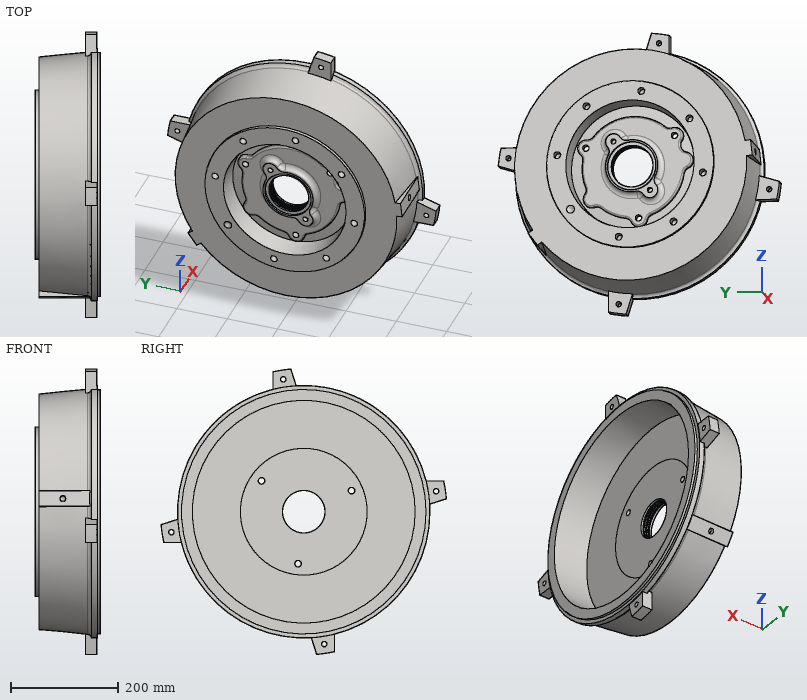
import cadquery as cq
import math


base_angle = 8.8
ring_pitch_angle = 360 / 8
ring_hole_angles = [base_angle + ring_pitch_angle * i for i in range(7)]
dimple_angle = base_angle + ring_pitch_angle * 7
lug_angles = [base_angle + 90 * i for i in range(4)]
hub_bolt_angles = [base_angle + 15 + 120 * i for i in range(3)]
pad_angles = [base_angle + 165, dimple_angle]
ear_angles = [base_angle + 45, base_angle + 225]

ring_height = 7.0
rim_end = 116.5
housing_length = 122.0
cone_end = 97.5

ring_radius = 158.5
front_radius = 220.5
neck_radius = 229.5
rim_radius = 236.0
spigot_radius = 228.5
pocket_radius = 122.0
cavity_radius = 208.0
rim_fillet = 7.5

ring_hole_pitch = 140.0
ring_hole_radius = 6.5
ring_hole_depth = 19.0
dimple_radius = 7.5
drill_half_angle = 59

pad_distance = 230.5
pad_width = 29.5
pad_depth = 16.0
pad_end = 102.5
pad_hole_x = 52.0
pad_hole_radius = 5.5
pad_hole_depth = 10.5

lug_start = 94.0
lug_end = 115.5
lug_tip_radius = 268.0
lug_tip_half_width = 17.0
lug_root_radius = 224.5
lug_flare = 8.8
lug_hole_pitch = 250.5
lug_hole_radius = 5.0

boss_face = 17.5
plate_face = 31.5
hub_back = 46.0
hub_radius = 118.5
skirt_inner_x = 40.0
skirt_outer_x = 42.0

plate_core_radius = 97.0
plate_lobe_radius = 16.0
plate_lobe_pitch = 97.5
plate_blend = 13.5
plate_edge_fillet = 3.0
hub_bolt_radius = 6.0

boss_core_radius = 49.5
ear_radius = 15.0
ear_pitch = 59.0
boss_blend = 14.0
boss_root_fillet = 10.5
ear_hole_radius = 5.0
ear_hole_depth = 10.5

bore_radius = 39.5
seat_radius = 46.0
seat_depth = 4.5
groove_count = 3
groove_width = 2.5
groove_depth = 2.5


def polar(radius, angle):
    """Point in the YZ plane at a radius and an angle in degrees."""
    return (radius * math.cos(math.radians(angle)), radius * math.sin(math.radians(angle)))


def cross_plane(x):
    """Workplane across the axis at station x, facing +X."""
    return cq.Workplane("YZ", origin=(x, 0, 0))


def round_bar(start, end, radius, center=(0, 0)):
    """Cylinder along X from start to end."""
    return cross_plane(start).center(*center).circle(radius).extrude(end - start)


def drill_tip_height(radius):
    """Height of the cone that a drill of this radius leaves."""
    return radius / math.tan(math.radians(drill_half_angle))


def drilled_hole(radius, depth):
    """Blind hole with a conical bottom, from the origin along +Z."""
    profile = cq.Workplane("XZ").polyline([
        (0, 0),
        (radius, 0),
        (radius, depth),
        (0, depth + drill_tip_height(radius)),
    ]).close()
    return profile.revolve(360, (0, 0, 0), (0, 1, 0))


def lobed_outline(plane, core, lobe, pitch, blend, angles):
    """Circle of radius `core` with round lobes joined to it by concave arcs of radius `blend`."""
    to_blend = core + blend
    blend_to_lobe = lobe + blend
    cosine = (to_blend**2 + pitch**2 - blend_to_lobe**2) / (2 * to_blend * pitch)
    spread = math.degrees(math.acos(cosine))
    angles = sorted(angle % 360 for angle in angles)

    def point_between(center_a, center_b, distance):
        """Point at a distance from center_a toward center_b."""
        share = distance / math.dist(center_a, center_b)
        return tuple(a + (b - a) * share for a, b in zip(center_a, center_b))

    def blend_points(angle, side):
        """Core end, middle and lobe end of the blend arc on one side of a lobe."""
        blend_center = polar(to_blend, angle + side * spread)
        lobe_center = polar(pitch, angle)
        core_end = polar(core, angle + side * spread)
        lobe_end = point_between(lobe_center, blend_center, lobe)
        chord_middle = tuple((a + b) / 2 for a, b in zip(core_end, lobe_end))
        middle = point_between(blend_center, chord_middle, blend)
        return core_end, middle, lobe_end

    outline = plane.moveTo(*polar(core, angles[0] - spread))
    next_angles = angles[1:] + [angles[0] + 360]
    for angle, next_angle in zip(angles, next_angles):
        _, middle, lobe_end = blend_points(angle, -1)
        outline = outline.threePointArc(middle, lobe_end)
        core_end, middle, lobe_end = blend_points(angle, 1)
        outline = outline.threePointArc(polar(pitch + lobe, angle), lobe_end)
        outline = outline.threePointArc(middle, core_end)
        core_middle = polar(core, (angle + next_angle) / 2)
        outline = outline.threePointArc(core_middle, polar(core, next_angle - spread))
    return outline.close()


def housing_shell():
    """Turned shell: raised front ring, conical outside, rim, spigot, front pocket and rear cavity."""
    rim_step = rim_radius - neck_radius
    fillet_sweep = math.acos(1 - rim_step / rim_fillet)

    def rim_fillet_point(sweep):
        """Point on the concave arc that rises from the end of the cone to the rim."""
        rise = rim_fillet * (1 - math.cos(sweep))
        return (cone_end + rim_fillet * math.sin(sweep), neck_radius + rise)

    profile = (
        cq.Workplane("XY")
        .moveTo(0, pocket_radius)
        .lineTo(0, ring_radius)
        .lineTo(ring_height, ring_radius)
        .lineTo(ring_height, front_radius)
        .lineTo(cone_end, neck_radius)
        .threePointArc(rim_fillet_point(fillet_sweep / 2), rim_fillet_point(fillet_sweep))
        .lineTo(rim_end, rim_radius)
        .lineTo(rim_end, spigot_radius)
        .lineTo(housing_length, spigot_radius)
        .lineTo(housing_length, cavity_radius)
        .lineTo(hub_back, cavity_radius)
        .lineTo(hub_back, hub_radius)
        .lineTo(skirt_outer_x, hub_radius)
        .close()
    )
    return profile.revolve(360, (0, 0, 0), (1, 0, 0))


def lug(angle):
    """Tapered lug with a rounded tip and a hole along X."""
    tip_shoulder = math.sqrt(lug_tip_radius**2 - lug_tip_half_width**2)
    flare = (tip_shoulder - lug_root_radius) * math.tan(math.radians(lug_flare))
    root_half_width = lug_tip_half_width + flare
    blank = (
        cross_plane(lug_start)
        .moveTo(lug_root_radius, -root_half_width)
        .lineTo(tip_shoulder, -lug_tip_half_width)
        .threePointArc((lug_tip_radius, 0), (tip_shoulder, lug_tip_half_width))
        .lineTo(lug_root_radius, root_half_width)
        .close()
        .extrude(lug_end - lug_start)
    )
    hole = round_bar(lug_start, lug_end, lug_hole_radius, (lug_hole_pitch, 0))
    return blank.cut(hole).rotate((0, 0, 0), (1, 0, 0), angle)


def pad(angle):
    """Flat-topped pad along the cone."""
    length = pad_end - ring_height
    block = cq.Workplane("XY").box(length, pad_depth, pad_width, centered=(False, False, True))
    block = block.translate((ring_height, pad_distance - pad_depth, 0))
    return block.rotate((0, 0, 0), (1, 0, 0), angle)


def pad_hole(angle):
    """Blind hole from the flat of a pad toward the axis."""
    hole = drilled_hole(pad_hole_radius, pad_hole_depth).rotate((0, 0, 0), (1, 0, 0), 90)
    hole = hole.translate((pad_hole_x, pad_distance, 0))
    return hole.rotate((0, 0, 0), (1, 0, 0), angle)


def ring_hole(radius, depth, angle):
    """Blind hole into the front ring."""
    hole = drilled_hole(radius, depth).rotate((0, 0, 0), (0, 1, 0), 90)
    return hole.translate((0, *polar(ring_hole_pitch, angle)))


def dimple(angle):
    """Shallow conical dimple in the front ring."""
    center = cq.Vector(0, *polar(ring_hole_pitch, angle))
    depth = drill_tip_height(dimple_radius)
    cone = cq.Solid.makeCone(dimple_radius, 0, depth, pnt=center, dir=cq.Vector(1, 0, 0))
    return cq.Workplane(cone)


def make_housing():
    body = housing_shell()
    for angle in pad_angles:
        body = body.union(pad(angle))
    for angle in lug_angles:
        body = body.union(lug(angle))
    for angle in pad_angles:
        body = body.cut(pad_hole(angle))
    for angle in ring_hole_angles:
        body = body.cut(ring_hole(ring_hole_radius, ring_hole_depth, angle))
    return body.cut(dimple(dimple_angle))


def hub_skirt():
    """Disc with a shallow conical front that fills the housing bore."""
    profile = cq.Workplane("XY").polyline([
        (skirt_inner_x, 0),
        (skirt_inner_x, plate_core_radius),
        (skirt_outer_x, hub_radius),
        (hub_back, hub_radius),
        (hub_back, 0),
    ]).close()
    return profile.revolve(360, (0, 0, 0), (1, 0, 0))


def hub_plate():
    """Raised plate with five lobes and a rounded front edge."""
    outline = lobed_outline(
        cross_plane(plate_face), plate_core_radius, plate_lobe_radius, plate_lobe_pitch,
        plate_blend, hub_bolt_angles + pad_angles,
    )
    plate = outline.extrude(hub_back - plate_face)
    return plate.faces("<X").edges().fillet(plate_edge_fillet)


def bearing_boss():
    """Boss with two ears around the bore."""
    outline = lobed_outline(
        cross_plane(boss_face), boss_core_radius, ear_radius, ear_pitch, boss_blend, ear_angles,
    )
    return outline.extrude(hub_back - boss_face)


def bore_cutter():
    """Bore with a shallow seat at its front and evenly spaced seal grooves."""
    cutter = round_bar(boss_face, hub_back, bore_radius)
    seat_floor = boss_face + seat_depth
    cutter = cutter.union(round_bar(boss_face, seat_floor, seat_radius))
    spacing = (hub_back - seat_floor) / (groove_count + 1)
    for i in range(groove_count):
        start = seat_floor + (i + 1) * spacing - groove_width / 2
        cutter = cutter.union(round_bar(start, start + groove_width, bore_radius + groove_depth))
    return cutter


def make_hub():
    body = hub_skirt().union(hub_plate()).union(bearing_boss())
    reach = ear_pitch + ear_radius
    slack = boss_root_fillet / 2
    boss_root = cq.selectors.BoxSelector(
        (plate_face - slack, -reach, -reach),
        (plate_face + slack, reach, reach),
    )
    body = body.edges(boss_root).fillet(boss_root_fillet)
    body = body.cut(bore_cutter())
    for angle in hub_bolt_angles:
        center = polar(plate_lobe_pitch, angle)
        body = body.cut(round_bar(plate_face, hub_back, hub_bolt_radius, center))
    for angle in ear_angles:
        center = polar(ear_pitch, angle)
        body = body.cut(round_bar(boss_face, boss_face + ear_hole_depth, ear_hole_radius, center))
    return body


housing = make_housing()
hub = make_hub()

result = cq.Compound.makeCompound([housing.solids().val(), hub.solids().val()])